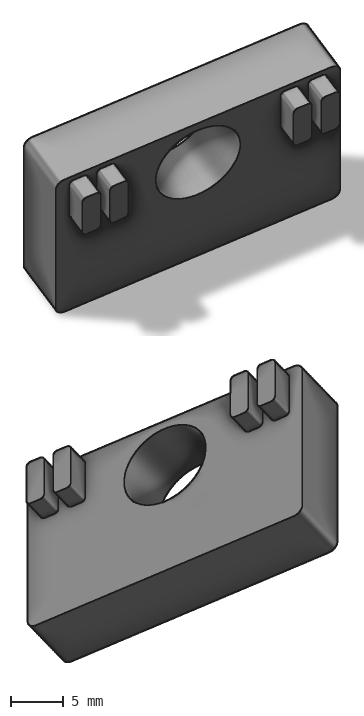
import cadquery as cq

plate_thickness = 6.2
plate_width = 31.0
plate_height = 19.0
plate_corner_radius = 1.0

hole_diameter = 9.2
hole_drop = 5.6

prong_length = 2.5
prong_width = 2.0
prong_height = 5.27
prong_corner_radius = 0.5
prong_top_margin = 0.62
outer_prong_margin = 1.5
prong_pitch = 3.0

plate_top = plate_height / 2
outer_prong_y = plate_width / 2 - outer_prong_margin - prong_width / 2
inner_prong_y = outer_prong_y - prong_pitch
prong_z = plate_top - prong_top_margin - prong_height / 2


def rounded_block(length, width, height, radius):
    """Block starting at X = 0, with its four edges along X rounded."""
    block = cq.Workplane("YZ").rect(width, height).extrude(length)
    return block.edges("|X").fillet(radius)


def through_hole():
    hole = cq.Workplane("YZ").center(0, plate_top - hole_drop)
    return hole.circle(hole_diameter / 2).extrude(plate_thickness)


plate = rounded_block(plate_thickness, plate_width, plate_height, plate_corner_radius)
result = plate.cut(through_hole())

prong = rounded_block(prong_length, prong_width, prong_height, prong_corner_radius)
for y in (-outer_prong_y, -inner_prong_y, inner_prong_y, outer_prong_y):
    result = result.union(prong.translate((plate_thickness, y, prong_z)))